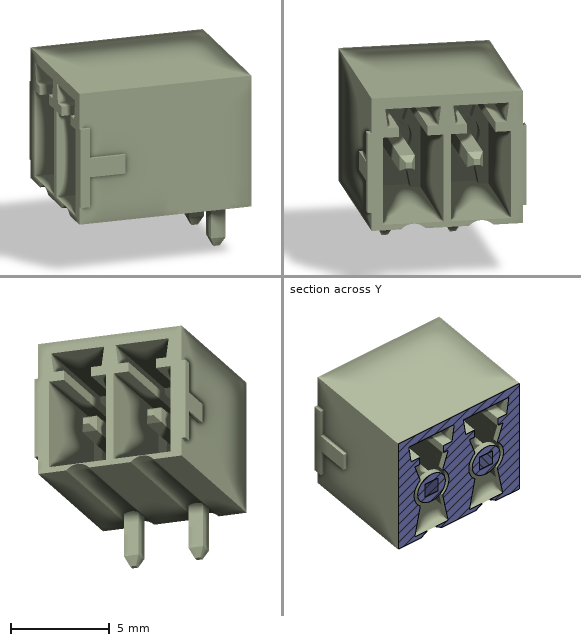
import cadquery as cq
import math


OVERALL_WIDTH = 8.2
OVERALL_HEIGHT = 9.6
DEPTH = 9.2

HOUSING_HEIGHT = 7.0
RIB_THICKNESS = 0.2
HOUSING_WIDTH = OVERALL_WIDTH - 2 * RIB_THICKNESS
PITCH = 3.5
CONTACT_COUNT = 2
CONTACT_XS = [(i - (CONTACT_COUNT - 1) / 2) * PITCH for i in range(CONTACT_COUNT)]
CONTACT_Z = 3.0

RIB_BOTTOM = 0.95
RIB_TOP = 5.15
RIB_BAR_DEPTH = 0.5
RIB_STEM_DEPTH = 2.4
RIB_STEM_HEIGHT = 1.0

SOCKET_DEPTH = 6.34
SOCKET_WIDTH = 3.1
SOCKET_BOTTOM = 0.3
SOCKET_TOP = 4.9
NECK_WIDTH = 1.48
NECK_TOP = 5.4
SLOT_BOTTOM_WIDTH = 2.6
SLOT_TOP_WIDTH = 2.88
SLOT_TOP = 6.4

RECESS_DEPTH = 0.58
RECESS_WIDTH = 2.1
RECESS_DIAMETER = 2.2
WAIST_WIDTH = 1.4
WAIST_HALF_HEIGHT = math.sqrt(RECESS_DIAMETER**2 - WAIST_WIDTH**2) / 2
BOSS_DIAMETER = 1.8

GROOVE_WIDTH = 1.25
GROOVE_HEIGHT = 0.27

PIN_SIZE = 0.8
PIN_TIP_SIZE = 0.32
PIN_TAPER_LENGTH = 0.5
PIN_FRONT = 1.2
PIN_BACK_GAP = 0.8
PIN_BACK = DEPTH - PIN_BACK_GAP
PIN_BOTTOM = HOUSING_HEIGHT - OVERALL_HEIGHT


def box(x_min, x_max, y_min, y_max, z_min, z_max):
    size = (x_max - x_min, y_max - y_min, z_max - z_min)
    return cq.Workplane("XY").box(*size, centered=False).translate((x_min, y_min, z_min))


def front_sketch(y):
    """Workplane facing the front at depth y; extruding by a negative length goes back."""
    return cq.Workplane("XZ", origin=(0, y, 0))


def make_ribs():
    """T-shaped slab across the full width; only its two ends stand out from the housing."""
    half = OVERALL_WIDTH / 2
    middle = (RIB_BOTTOM + RIB_TOP) / 2
    stem_bottom = middle - RIB_STEM_HEIGHT / 2
    bar = box(-half, half, 0, RIB_BAR_DEPTH, RIB_BOTTOM, RIB_TOP)
    stem = box(-half, half, 0, RIB_STEM_DEPTH, stem_bottom, stem_bottom + RIB_STEM_HEIGHT)
    return bar.union(stem)


def socket_outline(y, lower_side):
    """Symmetric outline: lower_side is its right edge below the neck, with the flared slot above."""
    right_side = lower_side + [
        (NECK_WIDTH / 2, SOCKET_TOP),
        (NECK_WIDTH / 2, NECK_TOP),
        (SLOT_BOTTOM_WIDTH / 2, NECK_TOP),
        (SLOT_TOP_WIDTH / 2, SLOT_TOP),
    ]
    left_side = [(-px, pz) for px, pz in reversed(right_side)]
    return front_sketch(y).polyline(right_side + left_side).close()


def make_socket():
    """Keyed opening: a rectangle, a narrower neck and a flared slot on top."""
    rectangle_side = [(SOCKET_WIDTH / 2, SOCKET_BOTTOM), (SOCKET_WIDTH / 2, SOCKET_TOP)]
    return socket_outline(0, rectangle_side).extrude(-SOCKET_DEPTH)


def make_recess():
    """Waisted recess with a round middle, cut into the socket's end wall around a flush round boss."""
    waisted_side = [
        (RECESS_WIDTH / 2, SOCKET_BOTTOM),
        (WAIST_WIDTH / 2, CONTACT_Z - WAIST_HALF_HEIGHT),
        (WAIST_WIDTH / 2, CONTACT_Z + WAIST_HALF_HEIGHT),
        (RECESS_WIDTH / 2, SOCKET_TOP),
    ]
    waisted = socket_outline(SOCKET_DEPTH, waisted_side).extrude(-RECESS_DEPTH)
    middle = front_sketch(SOCKET_DEPTH).center(0, CONTACT_Z)
    disc = middle.circle(RECESS_DIAMETER / 2).extrude(-RECESS_DEPTH)
    boss = middle.circle(BOSS_DIAMETER / 2).extrude(-RECESS_DEPTH)
    return waisted.union(disc).cut(boss)


def make_groove():
    """Shallow arc-shaped groove that runs from front to back."""
    outline = (
        front_sketch(0)
        .moveTo(-GROOVE_WIDTH / 2, 0)
        .threePointArc((0, GROOVE_HEIGHT), (GROOVE_WIDTH / 2, 0))
        .close()
    )
    return outline.extrude(-DEPTH)


def make_tip(base):
    """Pyramid frustum that narrows from the pin's section along the base's normal."""
    return (
        base.rect(PIN_SIZE, PIN_SIZE)
        .workplane(offset=PIN_TAPER_LENGTH)
        .rect(PIN_TIP_SIZE, PIN_TIP_SIZE)
        .loft(ruled=True)
    )


def make_pin(x):
    """L-shaped square pin: one leg points to the front, the other points down."""
    half = PIN_SIZE / 2
    shank_front = PIN_FRONT + PIN_TAPER_LENGTH
    shank_bottom = PIN_BOTTOM + PIN_TAPER_LENGTH
    leg_y = PIN_BACK - half
    top = CONTACT_Z + half
    contact_leg = box(-half, half, shank_front, PIN_BACK, CONTACT_Z - half, top)
    solder_leg = box(-half, half, PIN_BACK - PIN_SIZE, PIN_BACK, shank_bottom, top)
    contact_tip = make_tip(cq.Workplane("XZ", origin=(0, shank_front, CONTACT_Z)))
    solder_tip = make_tip(cq.Workplane("XY", origin=(0, leg_y, shank_bottom)).transformed(rotate=(180, 0, 0)))
    pin = contact_leg.union(solder_leg).union(contact_tip).union(solder_tip)
    return pin.translate((x, 0, 0))


def make_housing(pins):
    """Block with side ribs, sockets, grooves and holes that fit the pins."""
    half = HOUSING_WIDTH / 2
    housing = box(-half, half, 0, DEPTH, 0, HOUSING_HEIGHT).union(make_ribs())
    opening = make_socket().union(make_recess())
    groove = make_groove()
    for x in CONTACT_XS:
        housing = housing.cut(opening.translate((x, 0, 0)))
        housing = housing.cut(groove.translate((x, 0, 0)))
    for pin in pins:
        housing = housing.cut(pin)
    return housing


pins = [make_pin(x) for x in CONTACT_XS]
housing = make_housing(pins)

result = cq.Compound.makeCompound([housing.val(), *[pin.val() for pin in pins]])